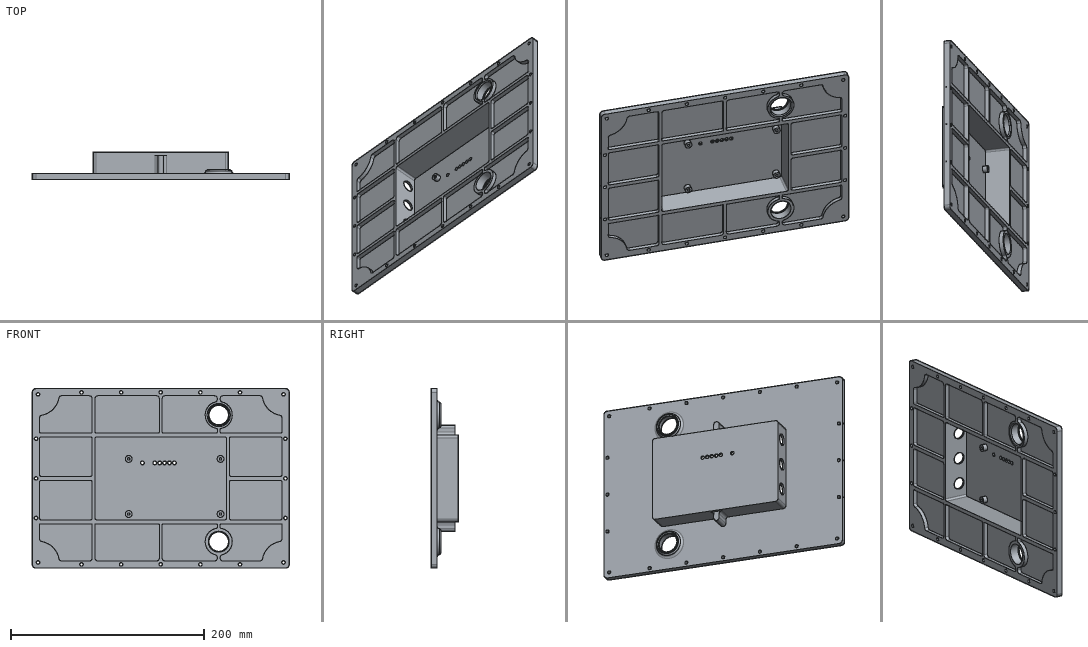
import cadquery as cq
import math


COS_45 = math.cos(math.pi / 4)

PLATE_X = 266.0
PLATE_Z = 186.0
PLATE_T = 6.4
PLATE_CORNER_R = 4.0

TOTAL_Y = 28.4
BOX_X = 140.0
BOX_Z = 90.0
BOX_WALL = 2.0
BOX_CORNER_R = 3.0
CAVITY_X = BOX_X - 2 * BOX_WALL
CAVITY_Z = BOX_Z - 2 * BOX_WALL
CAVITY_CORNER_R = 2.0
CAVITY_DEPTH = TOTAL_Y - BOX_WALL

POCKET_DEPTH = 4.4
POCKET_AREA_X = 251.0
POCKET_AREA_Z = 171.0
UPRIGHT_RIB = 3.0
LEVEL_RIB = 4.0
RIM_POCKET_R = 3.0
INNER_POCKET_R = 2.0
TIGHT_POCKET_R = 1.0

SCREW_D = 3.3
SCREW_PITCH = 41.0
EDGE_SCREW_INSET = 4.0
CORNER_SCREW_INSET = 6.0
CORNER_PAD_R = 22.0

PINHOLE_D = 0.8
PINHOLE_Y = 4.0

PORT_X = 60.0
PORT_Z = 65.5
PORT_BORE_R = 10.8
PORT_LIP_R = 10.0
PORT_LIP_T = 1.0
PORT_PAD_R = 14.0
UPPER_PORT_CHAMFER = 1.2
COLLAR_R = 13.5
COLLAR_H = 4.0
COLLAR_FILLET_R = 2.4
COLLAR_CHAMFER = COLLAR_H - COLLAR_FILLET_R

LUG_REACH = 10.0
LUG_TIP_R = 3.0
LUG_H = 18.6

CABLE_D = 12.2
CABLE_PITCH = 27.5

STANDOFF_XS = (-33.2, 61.8)
STANDOFF_ZS = (-36.9, 20.1)
STANDOFF_D = 7.0
STANDOFF_H = 5.0
STANDOFF_HOLE_D = 2.5

LED_D = 3.6
LED_Z = 16.0
LED_ROW_X = -6.2
LED_PITCH = 5.08
LED_COUNT = 5
SINGLE_LED_X = -19.0


def front_plane(level):
    """Sketch plane parallel to the front face, with X and Z as its axes."""
    return cq.Workplane("XZ", origin=(0, level, 0))


def block(x_range, z_range, level, depth):
    """Rectangular block reaching back from the given level."""
    (x0, x1), (z0, z1) = x_range, z_range
    centre = ((x0 + x1) / 2, (z0 + z1) / 2)
    return front_plane(level).center(*centre).rect(x1 - x0, z1 - z0).extrude(-depth)


def cylinders(points, diameter, level, depth):
    """Round bars reaching back from the given level."""
    return front_plane(level).pushPoints(points).circle(diameter / 2).extrude(-depth)


def rounded_block(size_x, size_z, radius, level, depth):
    shape = block((-size_x / 2, size_x / 2), (-size_z / 2, size_z / 2), level, depth)
    return shape.edges("|Y").fillet(radius)


def mirror_x(shape):
    return shape.mirror("YZ")


def mirror_z(shape):
    return shape.mirror("XY")


RIM_X = POCKET_AREA_X / 2
RIM_Z = POCKET_AREA_Z / 2
SIDE_X = CAVITY_X / 2 + UPRIGHT_RIB
ROW_Z = CAVITY_Z / 2 + LEVEL_RIB
HALF_UPRIGHT = UPRIGHT_RIB / 2
CORNER_SCREW = (PLATE_X / 2 - CORNER_SCREW_INSET, PLATE_Z / 2 - CORNER_SCREW_INSET)
PORTS = [(PORT_X, PORT_Z), (PORT_X, -PORT_Z)]


def edges_between(shape, z_low, z_high):
    return shape.edges("|Y").filter(lambda edge: z_low < edge.Center().z < z_high)


def round_row_pocket(shape):
    """Large radii towards the rim, tight ones along the box."""
    split_z = PORT_Z - LEVEL_RIB
    shape = edges_between(shape, split_z, PLATE_Z).fillet(RIM_POCKET_R)
    return edges_between(shape, 0, split_z).fillet(TIGHT_POCKET_R)


def row_pocket(x_range):
    """Pocket above the box, cut back around the corner screws and the upper port."""
    pads = cylinders([CORNER_SCREW, (-CORNER_SCREW[0], CORNER_SCREW[1])],
                     2 * CORNER_PAD_R, 0, POCKET_DEPTH)
    port_pad = cylinders(PORTS[:1], 2 * PORT_PAD_R, 0, POCKET_DEPTH)
    shape = block(x_range, (ROW_Z, RIM_Z), 0, POCKET_DEPTH)
    return round_row_pocket(shape.cut(pads).cut(port_pad))


def side_pocket():
    """Upper pocket beside the box on the +X side."""
    shape = block((SIDE_X, RIM_X), (LEVEL_RIB / 2, CAVITY_Z / 2), 0, POCKET_DEPTH)
    return shape.edges("|Y").fillet(INNER_POCKET_R)


def pockets():
    """All pockets around the box; the lower half mirrors the upper half."""
    row_ranges = [
        (-RIM_X, -SIDE_X),
        (-CAVITY_X / 2, -HALF_UPRIGHT),
        (HALF_UPRIGHT, PORT_X - HALF_UPRIGHT),
        (PORT_X + HALF_UPRIGHT, RIM_X),
    ]
    upper = [row_pocket(x_range) for x_range in row_ranges]
    upper += [side_pocket(), mirror_x(side_pocket())]
    return upper + [mirror_z(shape) for shape in upper]


def screw_holes():
    edge_x = PLATE_X / 2 - EDGE_SCREW_INSET
    edge_z = PLATE_Z / 2 - EDGE_SCREW_INSET
    points = [(sx * CORNER_SCREW[0], sz * CORNER_SCREW[1]) for sx in (-1, 1) for sz in (-1, 1)]
    points += [(i * SCREW_PITCH, side * edge_z) for i in range(-2, 3) for side in (-1, 1)]
    points += [(side * edge_x, i * SCREW_PITCH) for i in range(-1, 2) for side in (-1, 1)]
    return cylinders(points, SCREW_D, 0, PLATE_T)


def edge_pinholes():
    outside = cq.Workplane("YZ", origin=(-PLATE_X / 2, 0, 0))
    points = [(PINHOLE_Y, i * SCREW_PITCH) for i in range(-1, 2)]
    return outside.pushPoints(points).circle(PINHOLE_D / 2).extrude(EDGE_SCREW_INSET)


def lug():
    """Round-ended lug on the +Z wall, flared where it meets the wall."""
    root_z = BOX_Z / 2
    tip_z = root_z + LUG_REACH
    flare_z = root_z + LUG_TIP_R
    shoulder_z = tip_z - LUG_TIP_R
    foot_x = 2 * LUG_TIP_R
    bend = LUG_TIP_R * COS_45
    outline = (
        front_plane(PLATE_T)
        .moveTo(-foot_x, root_z)
        .threePointArc((-foot_x + bend, flare_z - bend), (-LUG_TIP_R, flare_z))
        .lineTo(-LUG_TIP_R, shoulder_z)
        .threePointArc((0, tip_z), (LUG_TIP_R, shoulder_z))
        .lineTo(LUG_TIP_R, flare_z)
        .threePointArc((foot_x - bend, flare_z - bend), (foot_x, root_z))
        .lineTo(foot_x, root_z - BOX_WALL / 2)
        .lineTo(-foot_x, root_z - BOX_WALL / 2)
        .close()
    )
    return outline.extrude(-LUG_H)


def collar(centre):
    """Collar behind a port, with a concave flare at its foot and a chamfered top."""
    bend = COLLAR_FILLET_R * (1 - COS_45)
    foot_r = COLLAR_R + COLLAR_FILLET_R
    top_y = PLATE_T + COLLAR_H
    section = (
        cq.Workplane("XY")
        .moveTo(0, PLATE_T)
        .lineTo(foot_r, PLATE_T)
        .threePointArc((COLLAR_R + bend, PLATE_T + bend), (COLLAR_R, PLATE_T + COLLAR_FILLET_R))
        .lineTo(COLLAR_R - COLLAR_CHAMFER, top_y)
        .lineTo(0, top_y)
        .close()
    )
    return section.revolve(360, (0, 0, 0), (0, 1, 0)).translate((centre[0], 0, centre[1]))


def port_bores():
    """Bores that leave a thin lip at the back; the upper one has a chamfered mouth."""
    depth = PLATE_T + COLLAR_H
    bores = cylinders(PORTS, 2 * PORT_BORE_R, 0, depth - PORT_LIP_T)
    throats = cylinders(PORTS, 2 * PORT_LIP_R, 0, depth)
    mouth = (
        front_plane(0)
        .center(*PORTS[0])
        .circle(PORT_BORE_R + UPPER_PORT_CHAMFER)
        .workplane(offset=-UPPER_PORT_CHAMFER)
        .circle(PORT_BORE_R)
        .loft(ruled=True)
    )
    return bores.union(throats).union(mouth)


def cable_holes():
    centre_y = (PLATE_T + TOTAL_Y) / 2
    points = [(centre_y, i * CABLE_PITCH) for i in (-1, 0, 1)]
    outside = cq.Workplane("YZ", origin=(-BOX_X / 2, 0, 0))
    return outside.pushPoints(points).circle(CABLE_D / 2).extrude(BOX_WALL)


def led_holes():
    points = [(SINGLE_LED_X, LED_Z)]
    points += [(LED_ROW_X + i * LED_PITCH, LED_Z) for i in range(LED_COUNT)]
    return cylinders(points, LED_D, CAVITY_DEPTH, BOX_WALL)


def standoffs():
    points = [(x, z) for x in STANDOFF_XS for z in STANDOFF_ZS]
    level = CAVITY_DEPTH - STANDOFF_H
    posts = cylinders(points, STANDOFF_D, level, STANDOFF_H)
    return posts.cut(cylinders(points, STANDOFF_HOLE_D, level, STANDOFF_H))


body = rounded_block(PLATE_X, PLATE_Z, PLATE_CORNER_R, 0, PLATE_T)
body = body.union(rounded_block(BOX_X, BOX_Z, BOX_CORNER_R, 0, TOTAL_Y))
body = body.union(lug()).union(mirror_z(lug()))
for port in PORTS:
    body = body.union(collar(port))

body = body.cut(rounded_block(CAVITY_X, CAVITY_Z, CAVITY_CORNER_R, 0, CAVITY_DEPTH))
for pocket in pockets():
    body = body.cut(pocket)
body = body.cut(screw_holes()).cut(edge_pinholes())
body = body.cut(port_bores()).cut(cable_holes()).cut(led_holes())

result = body.union(standoffs())